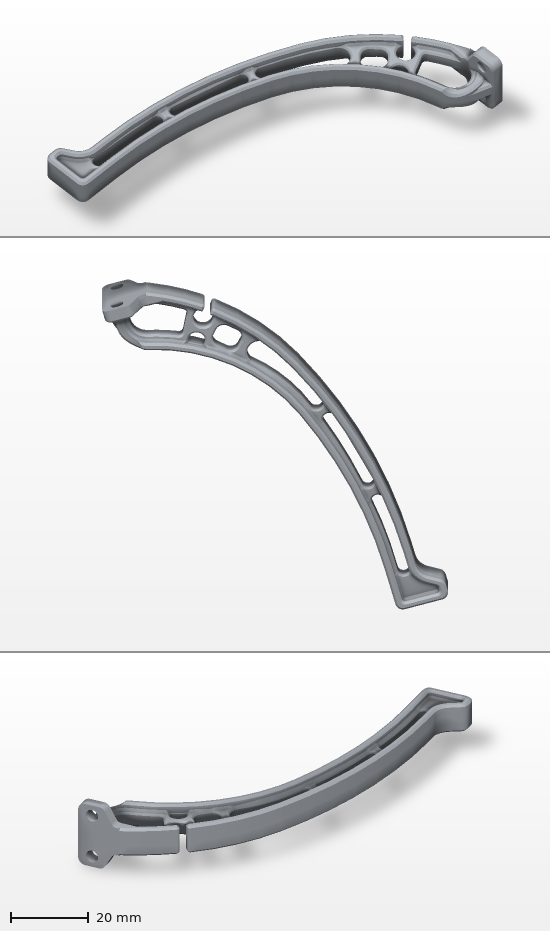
import cadquery as cq
import math


RIM_Z = 4.0
WEB_Z = 2.0
EAR_Z = 9.0

WALL = 2.0
BEVEL = 0.6
HOLE_BEVEL = 0.5
POCKET_CORNER = 0.8

FOOT_RIGHT = 14.0
FOOT_CORNER = 2.0
TOE_HEIGHT = 5.06
TOE_ANGLE = 30
HEEL_RADIUS = 4.7
HEEL_Y = 11.3

LOWER_CENTER_X = 137.2
OUTER_LOWER_RADIUS = 131.15
OUTER_LOWER_Y = 15.0
OUTER_UPPER_RADIUS = 61.1
OUTER_BREAK_ANGLE = 153.5
INNER_LOWER_RADIUS = LOWER_CENTER_X - FOOT_RIGHT
INNER_LOWER_Y = 12.5
INNER_BREAK_ANGLE = 157.5
END_RADIUS = 8.0
END_ANGLE = 112.5

FLANGE_RIGHT = 64.0
FLANGE_BACK = 103.0
FLANGE_THICKNESS = 3.6
FLANGE_FRONT = FLANGE_BACK - FLANGE_THICKNESS
EAR_BASE_X = 54.0
EAR_SLOPE = 60
EAR_RADIUS = 2.0
EAR_ROOT_RADIUS = 1.7
SCREW_X = 60.0
SCREW_Z = 6.0
SCREW_DIAMETER = 3.4
HEAD_CLEARANCE_RADIUS = 3.4
HEAD_CLEARANCE_LENGTH = 15.0

SLOTS = [
    ((9.55, 10.2), 1.55, (10.75, 30.3), 1.65, 300, 110),
    ((11.8, 36.1), 1.55, (16.55, 55.6), 1.7, 600, 130),
    ((18.6, 60.8), 1.75, (28.9, 78.4), 3.1, 93, 40),
]
SQUARE_CENTER = (35.7, 84.6)
SQUARE_LENGTH = 7.1
SQUARE_WIDTH = 6.0
SQUARE_CORNER = 2.2
SQUARE_ANGLE = 42
SMALL_HOLE_CENTER = (43.5, 86.0)
SMALL_HOLE_RADIUS = 2.2
SMALL_HOLE_INSET = 2.2
END_WINDOW_INSET = 3.6
END_WINDOW_CORNER = 1.2
END_WINDOW_OUTER_ANGLE = 122.7
END_WINDOW_INNER_ANGLE = 113.6
CLIP_SIZE = 200.0

KEYHOLE_CENTER = (40.2, 91.6)
KEYHOLE_RADIUS = 2.5
SLIT_WIDTH = 2.0
SLIT_LENGTH = 8.0
SLIT_TIP_RADIUS = 0.7


def polar(center, radius, angle):
    """Point at a radius and an angle in degrees from a centre."""
    turn = math.radians(angle)
    return (center[0] + radius * math.cos(turn), center[1] + radius * math.sin(turn))


OUTER_LOWER_CENTER = (LOWER_CENTER_X, OUTER_LOWER_Y)
INNER_LOWER_CENTER = (LOWER_CENTER_X, INNER_LOWER_Y)
OUTER_UPPER_CENTER = polar(
    OUTER_LOWER_CENTER, OUTER_LOWER_RADIUS - OUTER_UPPER_RADIUS, OUTER_BREAK_ANGLE
)
END_CENTER = polar(OUTER_UPPER_CENTER, OUTER_UPPER_RADIUS - END_RADIUS, END_ANGLE)


def inner_upper_radius():
    """Radius of the arc tangent to the inner lower arc at its break and to the round end."""
    dx = END_CENTER[0] - INNER_LOWER_CENTER[0]
    dy = END_CENTER[1] - INNER_LOWER_CENTER[1]
    turn = math.radians(INNER_BREAK_ANGLE)
    along = dx * math.cos(turn) + dy * math.sin(turn)
    reach = INNER_LOWER_RADIUS + END_RADIUS
    return INNER_LOWER_RADIUS - (reach**2 - dx**2 - dy**2) / (2 * (reach - along))


INNER_UPPER_RADIUS = inner_upper_radius()
INNER_UPPER_CENTER = polar(
    INNER_LOWER_CENTER, INNER_LOWER_RADIUS - INNER_UPPER_RADIUS, INNER_BREAK_ANGLE
)
INNER_END_ANGLE = math.degrees(math.atan2(
    END_CENTER[1] - INNER_UPPER_CENTER[1], END_CENTER[0] - INNER_UPPER_CENTER[0]
))
HEEL_CENTER = (LOWER_CENTER_X - OUTER_LOWER_RADIUS - HEEL_RADIUS, HEEL_Y)


def arc(sketch, center, radius, start, end):
    """Continue a sketch along an arc from its start angle to its end angle."""
    return sketch.threePointArc(polar(center, radius, (start + end) / 2), polar(center, radius, end))


def arm_outline(inset, corner):
    """Closed outline of the arm, moved inwards by an inset; corner rounds the foot."""
    right = FOOT_RIGHT - inset
    near = inset + corner
    toe_turn = math.radians(TOE_ANGLE)
    toe_y = TOE_HEIGHT + inset * math.tan(toe_turn) - inset / math.cos(toe_turn)
    toe_center = (near, toe_y - corner * math.tan(toe_turn))
    heel = HEEL_RADIUS + inset
    outer_lower = OUTER_LOWER_RADIUS - inset
    outer_upper = OUTER_UPPER_RADIUS - inset
    inner_lower = INNER_LOWER_RADIUS + inset
    inner_upper = INNER_UPPER_RADIUS + inset
    end = END_RADIUS - inset

    sketch = cq.Workplane("XY").moveTo(near, inset).lineTo(right - corner, inset)
    sketch = arc(sketch, (right - corner, near), corner, -90, 0)
    sketch = sketch.lineTo(right, INNER_LOWER_Y)
    sketch = arc(sketch, INNER_LOWER_CENTER, inner_lower, 180, INNER_BREAK_ANGLE)
    sketch = arc(sketch, INNER_UPPER_CENTER, inner_upper, INNER_BREAK_ANGLE, INNER_END_ANGLE)
    sketch = arc(sketch, END_CENTER, end, INNER_END_ANGLE - 180, END_ANGLE)
    sketch = arc(sketch, OUTER_UPPER_CENTER, outer_upper, END_ANGLE, OUTER_BREAK_ANGLE)
    sketch = arc(sketch, OUTER_LOWER_CENTER, outer_lower, OUTER_BREAK_ANGLE, 180)
    sketch = sketch.lineTo(HEEL_CENTER[0] + heel, HEEL_Y)
    sketch = arc(sketch, HEEL_CENTER, heel, 0, TOE_ANGLE - 90)
    sketch = sketch.lineTo(*polar(toe_center, corner, 90 + TOE_ANGLE))
    sketch = arc(sketch, toe_center, corner, 90 + TOE_ANGLE, 180)
    sketch = sketch.lineTo(inset, near)
    return arc(sketch, (near, near), corner, 180, 270).close()


def keep_below(solid, y_limit):
    """The part of a solid with Y below a limit."""
    block = cq.Workplane("XY").box(CLIP_SIZE, CLIP_SIZE, CLIP_SIZE)
    return solid.intersect(block.translate((0, y_limit - CLIP_SIZE / 2, 0)))


def pocket_prism(height):
    """Full pocket area between the walls, standing on the mid-plane."""
    return keep_below(arm_outline(WALL, POCKET_CORNER).extrude(height), FLANGE_FRONT)


def slit_angle():
    """Direction from the outer upper centre through the keyhole."""
    dx = KEYHOLE_CENTER[0] - OUTER_UPPER_CENTER[0]
    dy = KEYHOLE_CENTER[1] - OUTER_UPPER_CENTER[1]
    return math.degrees(math.atan2(dy, dx))


def keyhole_cutter():
    """Round hole joined to a slit that points straight out of the arm."""
    slit = cq.Workplane("XY").rect(SLIT_LENGTH, SLIT_WIDTH).extrude(RIM_Z)
    slit = slit.translate((SLIT_LENGTH / 2, 0, 0)).rotate((0, 0, 0), (0, 0, 1), slit_angle())
    hole = cq.Workplane("XY").circle(KEYHOLE_RADIUS).extrude(RIM_Z)
    return hole.union(slit).translate((*KEYHOLE_CENTER, 0))


def head_clearance():
    """Trough above the web for the screw head, with its lip on the round arm end bevelled."""
    bar = cq.Workplane("XZ").center(SCREW_X, SCREW_Z).circle(HEAD_CLEARANCE_RADIUS)
    bar = bar.extrude(HEAD_CLEARANCE_LENGTH).translate((0, FLANGE_FRONT, 0))
    round_end = cq.Workplane("XY").center(*END_CENTER).circle(END_RADIUS).extrude(SCREW_Z)
    notched = round_end.cut(bar)
    lip_point = (SCREW_X, END_CENTER[1] - END_RADIUS, SCREW_Z - HEAD_CLEARANCE_RADIUS)
    bevelled = notched.edges(cq.selectors.NearestToPointSelector(lip_point)).chamfer(BEVEL)
    return bar.union(notched.cut(bevelled))


def pocket_cutter():
    """Pocket above the web, bevelled at its floor and at the rim."""
    pocket = pocket_prism(RIM_Z - WEB_Z).translate((0, 0, WEB_Z)).faces("<Z").chamfer(BEVEL)
    mouth = arm_outline(WALL - BEVEL, POCKET_CORNER + BEVEL).extrude(2 * BEVEL)
    mouth = keep_below(mouth, FLANGE_FRONT + BEVEL).faces("<Z").chamfer(BEVEL)
    return pocket.union(mouth.translate((0, 0, RIM_Z - BEVEL)))


def make_arm():
    """Arm with its keyhole and pocket, all rim edges bevelled."""
    arm = arm_outline(0, FOOT_CORNER).extrude(RIM_Z).cut(keyhole_cutter())
    half_gap = math.degrees(math.asin(SLIT_WIDTH / 2 / OUTER_UPPER_RADIUS))
    for tip_angle in (slit_angle() - half_gap, slit_angle() + half_gap):
        tip = polar(OUTER_UPPER_CENTER, OUTER_UPPER_RADIUS, tip_angle)
        upright = cq.selectors.NearestToPointSelector((*tip, RIM_Z / 2))
        arm = arm.edges("|Z").edges(upright).fillet(SLIT_TIP_RADIUS)
    arm = arm.faces(">Z").edges().chamfer(BEVEL).cut(head_clearance())
    return keep_below(arm.cut(pocket_cutter()), FLANGE_BACK)


def make_gusset():
    """Web-height corner between the round end of the arm and the flange."""
    dx = FLANGE_RIGHT - END_CENTER[0]
    dy = FLANGE_FRONT - END_CENTER[1]
    spread = math.degrees(math.acos(END_RADIUS / math.hypot(dx, dy)))
    touch = polar(END_CENTER, END_RADIUS, math.degrees(math.atan2(dy, dx)) - spread)
    corner = (FLANGE_RIGHT, FLANGE_FRONT)
    top = (END_CENTER[0] + END_RADIUS / 2, FLANGE_FRONT)
    low = polar(END_CENTER, END_RADIUS - WALL / 2, 0)
    gusset = cq.Workplane("XY").polyline([low, touch, corner, top]).close().extrude(WEB_Z)
    slope = cq.selectors.NearestToPointSelector(
        ((touch[0] + corner[0]) / 2, (touch[1] + corner[1]) / 2, WEB_Z)
    )
    return gusset.edges(slope).chamfer(BEVEL)


def make_flange():
    """Upper half of the flange: a strip behind the arm carrying one drilled ear."""
    ear_top_x = EAR_BASE_X + (EAR_Z - RIM_Z) / math.tan(math.radians(EAR_SLOPE))
    strip_left = EAR_BASE_X - EAR_ROOT_RADIUS
    flange = (
        cq.Workplane("XZ", origin=(0, FLANGE_BACK, 0))
        .moveTo(strip_left, 0)
        .lineTo(FLANGE_RIGHT, 0)
        .lineTo(FLANGE_RIGHT, EAR_Z)
        .lineTo(ear_top_x, EAR_Z)
        .lineTo(EAR_BASE_X, RIM_Z)
        .lineTo(strip_left, RIM_Z)
        .close()
        .extrude(FLANGE_THICKNESS)
    )
    flange = flange.edges("|Y").edges(">Z").fillet(EAR_RADIUS)
    root = cq.selectors.NearestToPointSelector((EAR_BASE_X, FLANGE_BACK - FLANGE_THICKNESS / 2, RIM_Z))
    flange = flange.edges(root).fillet(EAR_ROOT_RADIUS)
    flange = flange.faces("<Y").edges("not(<X or <Z)").chamfer(BEVEL)
    screw = cq.Workplane("XZ", origin=(SCREW_X, FLANGE_BACK, SCREW_Z)).circle(SCREW_DIAMETER / 2)
    return flange.cut(screw.extrude(FLANGE_THICKNESS))


def slot_profile(low, low_radius, high, high_radius, left_bend, right_bend):
    """Long round-ended slot whose two sides bow towards -X."""
    run = math.degrees(math.atan2(high[1] - low[1], high[0] - low[0]))
    left = run + 90
    right = run - 90

    def side_middle(start, end, bend):
        chord = math.dist(start, end)
        middle = ((start[0] + end[0]) / 2, (start[1] + end[1]) / 2)
        return polar(middle, chord**2 / (8 * bend), left)

    low_left = polar(low, low_radius, left)
    low_right = polar(low, low_radius, right)
    high_left = polar(high, high_radius, left)
    high_right = polar(high, high_radius, right)
    return (
        cq.Workplane("XY")
        .moveTo(*low_left)
        .threePointArc(side_middle(low_left, high_left, left_bend), high_left)
        .threePointArc(polar(high, high_radius, run), high_right)
        .threePointArc(side_middle(high_right, low_right, right_bend), low_right)
        .threePointArc(polar(low, low_radius, run + 180), low_left)
        .close()
    )


def square_prism():
    """Rounded square opening aligned with the arm."""
    prism = cq.Workplane("XY").rect(SQUARE_LENGTH, SQUARE_WIDTH).extrude(RIM_Z)
    prism = prism.edges("|Z").fillet(SQUARE_CORNER)
    return prism.rotate((0, 0, 0), (0, 0, 1), SQUARE_ANGLE).translate((*SQUARE_CENTER, 0))


def small_hole_prism():
    """Round hole cut off parallel to the inner wall."""
    hole = cq.Workplane("XY").center(*SMALL_HOLE_CENTER).circle(SMALL_HOLE_RADIUS).extrude(RIM_Z)
    return hole.intersect(arm_outline(SMALL_HOLE_INSET, POCKET_CORNER).extrude(RIM_Z))


def end_window_prism():
    """Opening that follows the round end of the arm, closed by a straight side."""
    outer_radius = OUTER_UPPER_RADIUS - END_WINDOW_INSET
    inner_radius = INNER_UPPER_RADIUS + END_WINDOW_INSET
    end_radius = END_RADIUS - END_WINDOW_INSET
    outer_corner = polar(OUTER_UPPER_CENTER, outer_radius, END_WINDOW_OUTER_ANGLE)
    inner_corner = polar(INNER_UPPER_CENTER, inner_radius, END_WINDOW_INNER_ANGLE)
    sketch = cq.Workplane("XY").moveTo(*inner_corner)
    sketch = arc(sketch, INNER_UPPER_CENTER, inner_radius, END_WINDOW_INNER_ANGLE, INNER_END_ANGLE)
    sketch = arc(sketch, END_CENTER, end_radius, INNER_END_ANGLE - 180, END_ANGLE)
    sketch = arc(sketch, OUTER_UPPER_CENTER, outer_radius, END_ANGLE, END_WINDOW_OUTER_ANGLE)
    prism = sketch.close().extrude(RIM_Z)
    for corner in (outer_corner, inner_corner):
        upright = cq.selectors.NearestToPointSelector((*corner, RIM_Z / 2))
        prism = prism.edges("|Z").edges(upright).fillet(END_WINDOW_CORNER)
    return prism


def bevelled_cutter(prism):
    """An opening that widens at 45 degrees near the web surface, kept inside the walls."""
    profile = prism.faces("<Z").wires().toPending()
    flare_height = HOLE_BEVEL + BEVEL
    flare = profile.workplane(invert=True).extrude(flare_height, taper=-45, combine=False)
    flare = flare.translate((0, 0, WEB_Z - HOLE_BEVEL))
    return prism.union(flare.intersect(pocket_prism(RIM_Z)))


def make_upper_half():
    """Everything above the mid-plane."""
    half = make_arm().union(make_gusset()).union(make_flange())
    prisms = [slot_profile(*slot).extrude(RIM_Z) for slot in SLOTS]
    prisms += [square_prism(), small_hole_prism(), end_window_prism()]
    keyhole_web = cq.Workplane("XY").center(*KEYHOLE_CENTER).circle(KEYHOLE_RADIUS).extrude(RIM_Z)
    prisms.append(keyhole_web)
    for prism in prisms:
        half = half.cut(bevelled_cutter(prism))
    return half


upper_half = make_upper_half()
result = upper_half.union(upper_half.mirror("XY")).clean()